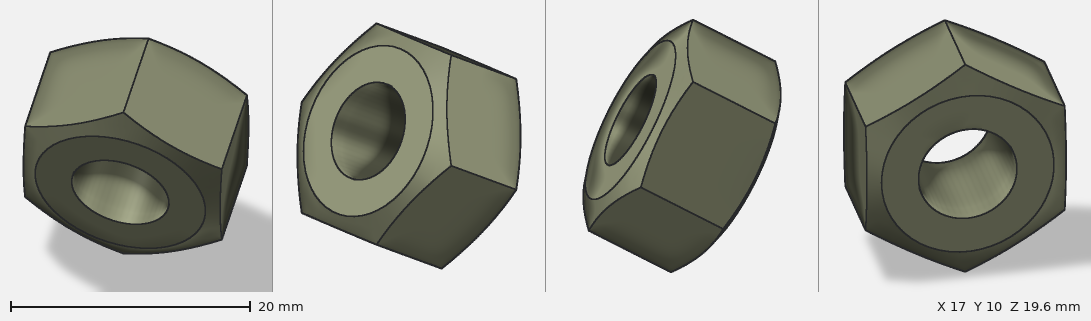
import cadquery as cq

across_corners = 19.63
thickness = 10.0
bore_diameter = 8.4
face_diameter = 14.72
chamfer_depth = 1.0

corner_radius = across_corners / 2
face_radius = face_diameter / 2
half_thickness = thickness / 2
chamfer_start = half_thickness - chamfer_depth


def hexagonal_prism():
    """Hexagon centred on the origin, with corners at +Z and -Z."""
    return (
        cq.Workplane("XZ")
        .transformed(rotate=(0, 0, 90))
        .polygon(6, across_corners)
        .extrude(half_thickness, both=True)
    )


def chamfer_envelope():
    """Round blank about Y whose conical ends trim the hexagon corners."""
    return (
        cq.Workplane("XY")
        .moveTo(0, -half_thickness)
        .lineTo(face_radius, -half_thickness)
        .lineTo(corner_radius, -chamfer_start)
        .lineTo(corner_radius, chamfer_start)
        .lineTo(face_radius, half_thickness)
        .lineTo(0, half_thickness)
        .close()
        .revolve(360, (0, 0, 0), (0, 1, 0))
    )


def bore():
    """Plain through hole along Y."""
    return (
        cq.Workplane("XZ", origin=(0, half_thickness, 0))
        .circle(bore_diameter / 2)
        .extrude(thickness)
    )


result = hexagonal_prism().intersect(chamfer_envelope()).cut(bore())